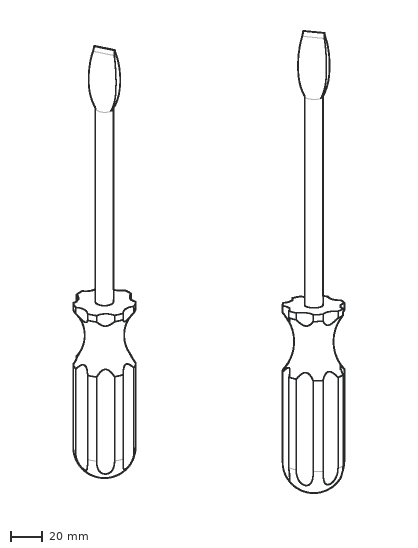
import cadquery as cq
import math

handle_height = 125.0
handle_radius = 20.0
neck_radius = 12.5
shoulder_height = 80.7
collar_thickness = 4.5

flute_count = 7
flute_floor_radius = 17.0
lobe_half_angle = math.radians(9.1)

overall_height = 308.0
shank_radius = 6.0
blade_base_height = 265.0
tip_height = 3.0
tip_half_width = 7.0
tip_side_half_thickness = 0.3
tip_middle_half_thickness = 0.35
blade_top_height = overall_height - tip_height

base_side_half_thickness = 2.0
base_half_width = math.sqrt(shank_radius**2 - base_side_half_thickness**2)
blade_sections = [
    (blade_base_height, base_half_width, base_side_half_thickness, shank_radius),
    (274.0, 8.5, 3.0, 5.2),
    (288.0, 9.5, 3.5, 3.7),
    (298.8, 8.5, 2.5, 2.65),
    (blade_top_height, 7.5, 1.2, 1.32),
]


def make_handle_body():
    """Revolved grip with a round butt and a waisted neck."""
    collar_bottom = handle_height - collar_thickness
    neck_height = (shoulder_height + collar_bottom) / 2
    butt_offset = handle_radius * math.sqrt(0.5)
    return (
        cq.Workplane("XZ")
        .threePointArc((butt_offset, handle_radius - butt_offset), (handle_radius, handle_radius))
        .lineTo(handle_radius, shoulder_height)
        .threePointArc((neck_radius, neck_height), (handle_radius, collar_bottom))
        .lineTo(handle_radius, handle_height)
        .lineTo(0, handle_height)
        .close()
        .revolve(360, (0, 0), (0, 1))
    )


def make_flutes():
    """Round cutters evenly spaced about the handle, the first on +Y."""
    pitch_angle = 2 * math.pi / flute_count
    flute_half_angle = pitch_angle / 2 - lobe_half_angle
    half_chord = handle_radius * math.sin(flute_half_angle)
    depth = handle_radius * math.cos(flute_half_angle) - flute_floor_radius
    flute_radius = (half_chord**2 + depth**2) / (2 * depth)
    return (
        cq.Workplane("XY")
        .polarArray(flute_floor_radius + flute_radius, 90, 360, flute_count)
        .circle(flute_radius)
        .extrude(handle_height)
    )


def blade_section(height, half_width, side_half_thickness, middle_half_thickness):
    """Closed section with flat sides and crowned broad faces."""
    return (
        cq.Workplane("XY")
        .workplane(offset=height)
        .moveTo(-half_width, -side_half_thickness)
        .threePointArc((0, -middle_half_thickness), (half_width, -side_half_thickness))
        .lineTo(half_width, side_half_thickness)
        .threePointArc((0, middle_half_thickness), (-half_width, side_half_thickness))
        .close()
        .val()
    )


def make_blade():
    """Smooth blade growing from the round shank, finished by a bevelled tip."""
    wires = [blade_section(*section) for section in blade_sections]
    body = cq.Solid.makeLoft(wires)
    tip_wire = blade_section(
        overall_height, tip_half_width, tip_side_half_thickness, tip_middle_half_thickness
    )
    tip = cq.Solid.makeLoft([wires[-1], tip_wire], ruled=True)
    return cq.Workplane(body).union(cq.Workplane(tip))


handle = make_handle_body().cut(make_flutes())
shank = (
    cq.Workplane("XY")
    .workplane(offset=shoulder_height)
    .circle(shank_radius)
    .extrude(blade_base_height - shoulder_height)
)
result = handle.union(shank).union(make_blade())